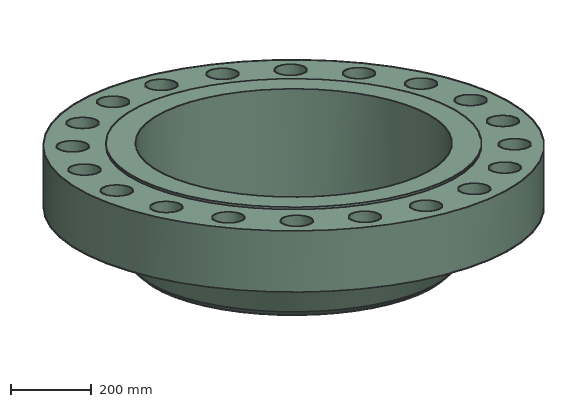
import cadquery as cq

flange_diameter = 1238.0
total_height = 310.0
raised_face_diameter = 929.0
raised_face_height = 6.0
flange_thickness = 161.0
bore_diameter = 783.0

hub_base_diameter = 906.0
hub_end_diameter = 822.0
hub_root_fillet = 19.0
weld_bevel_height = 15.0
weld_land_diameter = 790.0

bolt_count = 20
bolt_circle_diameter = 1092.0
bolt_hole_diameter = 80.0

flange_top = total_height - raised_face_height
flange_bottom = flange_top - flange_thickness


def make_body():
    """Revolve the solid half section, with the weld end at Z = 0."""
    return (
        cq.Workplane("XZ")
        .moveTo(0, 0)
        .lineTo(weld_land_diameter / 2, 0)
        .lineTo(hub_end_diameter / 2, weld_bevel_height)
        .lineTo(hub_base_diameter / 2, flange_bottom)
        .lineTo(flange_diameter / 2, flange_bottom)
        .lineTo(flange_diameter / 2, flange_top)
        .lineTo(raised_face_diameter / 2, flange_top)
        .lineTo(raised_face_diameter / 2, total_height)
        .lineTo(0, total_height)
        .close()
        .revolve(360, (0, 0, 0), (0, 1, 0))
    )


def round_hub_root(body):
    """Blend the neck into the underside of the flange."""
    root_radius = hub_base_diameter / 2
    root_edge = cq.selectors.BoxSelector(
        (-root_radius, -root_radius, flange_bottom - hub_root_fillet / 2),
        (root_radius, root_radius, flange_bottom + hub_root_fillet / 2),
        boundingbox=False,
    )
    circles = body.edges(root_edge).edges(cq.selectors.RadiusNthSelector(0))
    return circles.fillet(hub_root_fillet)


def cut_bore(body):
    bore = cq.Workplane("XY").circle(bore_diameter / 2).extrude(total_height)
    return body.cut(bore)


def cut_bolt_holes(body):
    holes = (
        cq.Workplane("XY")
        .polarArray(bolt_circle_diameter / 2, 0, 360, bolt_count)
        .circle(bolt_hole_diameter / 2)
        .extrude(total_height)
    )
    return body.cut(holes)


result = cut_bolt_holes(cut_bore(round_hub_root(make_body())))